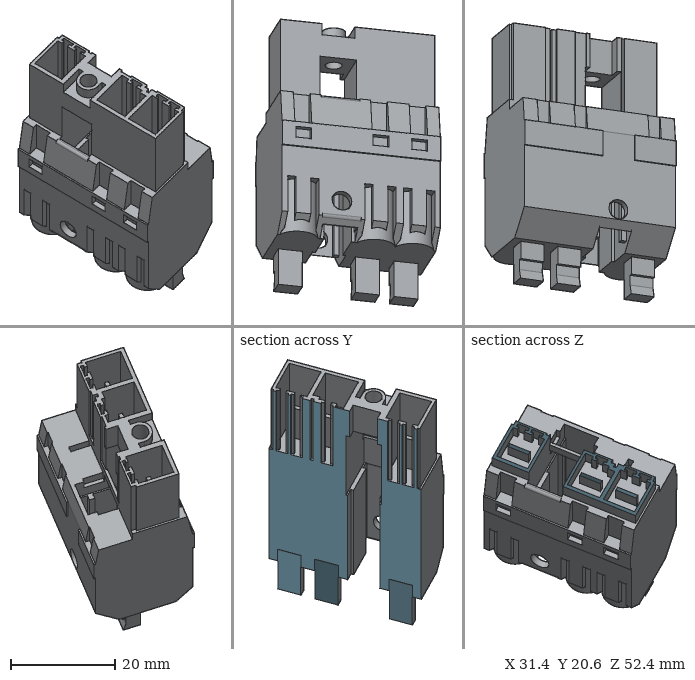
import cadquery as cq
import math


pitch = 7.65
pole_x = [-1.5 * pitch, 0.5 * pitch, 1.5 * pitch]
left_pole_x, inner_pole_x, right_pole_x = pole_x
flange_x = -0.5 * pitch

body_width = 31.4
body_half_depth = 9.95
band_half_depth = 20.6 / 2
body_bottom_z = 7.45
band_bottom_z = 24.8
band_top_z = 29.85
back_shoulder_z = 34.7
front_shoulder_z = 36.7
front_shoulder_y = -8.8
back_shoulder_y = 9.35
front_chamfer = 3.45
back_chamfer = 4.8

shell_half_width = 2 * pitch
shell_top_z = 52.4
shell_front_y = -7.3
shell_back_y = 2.4
seam_back_y = 2.1
seam_outer = 8.25
seam_inner_left = -0.3
seam_inner_right = 2.0
shell_groove_left = 5.75
shell_groove_step = 6.6
shell_groove_right = 7.15
shell_groove_step_y = 1.8
shell_groove_y = 1.1
corner_relief_x = 0.4
corner_relief_y = 1.4

socket_floor_z = 36.7
socket_front_y = -6.45
keyway_back_y = 1.95
key_neck_y = 1.35
key_face_y = 0.75
neck_half_width = 0.3
key_half_width = 0.85
outer_socket_outer_x = -3.15
outer_socket_inner_x = 3.35
outer_lug_outer_x = -2.2
outer_lug_inner_x = 2.1
outer_keyway_half_width = 2.65
outer_lug_inner_y = 0.95
inner_socket_half_width = 3.4
inner_socket_corner_y = 1.4
inner_lug_left = -1.8
inner_lug_right = -0.75
inner_keyway_left = -1.25
inner_key_neck_x = 1.1
inner_key_left = 0.6
inner_key_right = 1.95
inner_socket_ledge_y = 0.1

blade_width = 4.4
blade_thickness = 0.85
blade_y = -3.2
blade_seat_depth = 2.6
blade_height = 10.5
tab_width = 4.75
tab_front_y = 0.05
tab_back_y = 3.75
tab_top_z = 10.5
tab_notch_top_z = 3.95
tab_notch_bottom_z = 1.95
tab_notch_y = 3.05
tab_tip_y = 3.6

collar_radius = 4.15
collar_y = -4.85
collar_top_z = 18.45
groove_inner = 1.45
groove_outer = 3.1

front_recess_width = 3.35
front_recess_y = -7.9
back_recess_width = 2.5
back_recess_y = 9.1
window_width = 3.1
window_bottom_z = 26.55
window_top_z = 28.8
window_depth = 1.05

opening_width = 7.25
bridge_bottom_z = 45.5
bridge_back_y = -0.05
bridge_notch_width = 5.65
boss_recess_width = 6.5
boss_recess_z = 50.05
boss_recess_back_y = -2.4
boss_radius = 2.3
boss_y = -3.6
screw_diameter = 3.25
duct_width = 6.6
duct_top_front_y = -7.9
duct_front_y = -8.5
duct_back_y = 8.45
crossbar_front_y = 1.8
rib_width = 1.05
rib_front_y = 4.85
rib_back_y = 5.95
cross_hole_diameter = 3.9
cross_hole_z = 14.35
wall_notch_width = 6.9
wall_notch_top_z = 9.65
rail_gap = 5.45
rail_front_y = -6.55
top_edge_radius = 0.65
bottom_edge_radius = 0.95

back_slot_depth = 2.1
back_slot_back_y = 6.55
flange_slot_width = 0.75
pole_slot_width = 1.1
pole_slot_x = pitch


def block(x_range, y_range, z_range):
    """Box between the given limits along X, Y and Z."""
    (x0, x1), (y0, y1), (z0, z1) = x_range, y_range, z_range
    return cq.Workplane("XY").box(x1 - x0, y1 - y0, z1 - z0, centered=False).translate((x0, y0, z0))


def around(center, width):
    """Limits of a span of the given width about its centre."""
    return (center - width / 2, center + width / 2)


def prism_along_x(outline, x_range):
    """Solid with a Y-Z outline, running between two X limits."""
    x0, x1 = x_range
    return cq.Workplane("YZ").polyline(outline).close().extrude(x1 - x0).translate((x0, 0, 0))


def prism_up(outline, z_range):
    """Solid with an X-Y outline, running between two heights."""
    z0, z1 = z_range
    return cq.Workplane("XY").polyline(outline).close().extrude(z1 - z0).translate((0, 0, z0))


def cylinder_up(x, y, radius, z_range):
    """Upright cylinder between two heights."""
    z0, z1 = z_range
    return cq.Workplane("XY").center(x, y).circle(radius).extrude(z1 - z0).translate((0, 0, z0))


def edge_waste(before, corner, after, radius, x_range):
    """Sliver to remove along X so that the Y-Z corner between two points becomes round."""
    y, z = corner
    angle_before = math.atan2(before[1] - z, before[0] - y)
    angle_after = math.atan2(after[1] - z, after[0] - y)
    bisector = (math.cos(angle_before) + math.cos(angle_after),
                math.sin(angle_before) + math.sin(angle_after))
    bisector_angle = math.atan2(bisector[1], bisector[0])
    half_angle = math.acos(math.hypot(*bisector) / 2)
    tangent_length = radius / math.tan(half_angle)
    crown_distance = radius / math.sin(half_angle) - radius

    def along(angle, distance):
        return (y + distance * math.cos(angle), z + distance * math.sin(angle))

    x0, x1 = x_range
    outline = cq.Workplane("YZ").moveTo(y, z).lineTo(*along(angle_before, tangent_length))
    outline = outline.threePointArc(along(bisector_angle, crown_distance),
                                    along(angle_after, tangent_length))
    return outline.close().extrude(x1 - x0).translate((x0, 0, 0))


def make_lower_body():
    outline = [
        (body_half_depth - back_chamfer, body_bottom_z),
        (body_half_depth, body_bottom_z + back_chamfer),
        (body_half_depth, band_bottom_z),
        (band_half_depth, band_bottom_z),
        (band_half_depth, band_top_z),
        (body_half_depth, band_top_z),
        (back_shoulder_y, back_shoulder_z),
        (shell_back_y, back_shoulder_z),
        (shell_back_y, front_shoulder_z),
        (front_shoulder_y, front_shoulder_z),
        (-body_half_depth, band_top_z),
        (-band_half_depth, band_top_z),
        (-band_half_depth, band_bottom_z),
        (-body_half_depth, band_bottom_z),
        (-body_half_depth, body_bottom_z + front_chamfer),
        (front_chamfer - body_half_depth, body_bottom_z),
    ]
    return prism_along_x(outline, around(0, body_width))


def make_shell():
    """Upper shell, with stepped seams at the back between neighbouring positions."""
    relief_x = shell_half_width - corner_relief_x
    flange_left = flange_x - pitch / 2
    outline = [
        (-shell_half_width, shell_front_y),
        (-shell_half_width, corner_relief_y),
        (-relief_x, corner_relief_y),
        (-relief_x, shell_back_y),
        (-seam_outer, shell_back_y),
        (-seam_outer, seam_back_y),
        (flange_left, seam_back_y),
        (flange_left, shell_back_y),
        (seam_inner_left, shell_back_y),
        (seam_inner_left, seam_back_y),
        (seam_inner_right, seam_back_y),
        (seam_inner_right, shell_back_y),
        (shell_groove_left, shell_back_y),
        (shell_groove_left, shell_groove_step_y),
        (shell_groove_step, shell_groove_step_y),
        (shell_groove_step, shell_groove_y),
        (shell_groove_right, shell_groove_y),
        (shell_groove_right, seam_back_y),
        (seam_outer, seam_back_y),
        (seam_outer, shell_back_y),
        (relief_x, shell_back_y),
        (relief_x, corner_relief_y),
        (shell_half_width, corner_relief_y),
        (shell_half_width, shell_front_y),
    ]
    return prism_up(outline, (front_shoulder_z, shell_top_z))


def make_outer_socket(x, side):
    """Socket with a T-shaped key in its back wall; side = -1 mirrors it about the pole axis."""
    shape = [
        (outer_socket_outer_x, socket_front_y),
        (outer_socket_outer_x, key_face_y),
        (outer_lug_outer_x, key_face_y),
        (outer_lug_outer_x, key_neck_y),
        (-outer_keyway_half_width, key_neck_y),
        (-outer_keyway_half_width, keyway_back_y),
        (-neck_half_width, keyway_back_y),
        (-neck_half_width, key_neck_y),
        (-key_half_width, key_neck_y),
        (-key_half_width, key_face_y),
        (key_half_width, key_face_y),
        (key_half_width, key_neck_y),
        (neck_half_width, key_neck_y),
        (neck_half_width, keyway_back_y),
        (outer_keyway_half_width, keyway_back_y),
        (outer_keyway_half_width, key_neck_y),
        (outer_lug_inner_x, key_neck_y),
        (outer_lug_inner_x, outer_lug_inner_y),
        (outer_socket_inner_x, outer_lug_inner_y),
        (outer_socket_inner_x, socket_front_y),
    ]
    return prism_up([(x + side * u, y) for u, y in shape], (socket_floor_z, shell_top_z))


def make_inner_socket(x):
    """Wider socket whose back wall steps around the groove beside it."""
    shape = [
        (-inner_socket_half_width, socket_front_y),
        (-inner_socket_half_width, inner_socket_corner_y),
        (inner_lug_left, inner_socket_corner_y),
        (inner_lug_left, key_face_y),
        (inner_lug_right, key_face_y),
        (inner_lug_right, key_neck_y),
        (inner_keyway_left, key_neck_y),
        (inner_keyway_left, keyway_back_y),
        (inner_key_neck_x, keyway_back_y),
        (inner_key_neck_x, key_neck_y),
        (inner_key_left, key_neck_y),
        (inner_key_left, key_face_y),
        (inner_key_right, key_face_y),
        (inner_key_right, inner_socket_ledge_y),
        (inner_socket_half_width, inner_socket_ledge_y),
        (inner_socket_half_width, socket_front_y),
    ]
    return prism_up([(x + u, y) for u, y in shape], (socket_floor_z, shell_top_z))


def cut_bridge(body):
    """Opening below the bridge, and the screw boss standing in a recess on top of it."""
    body = body.cut(block(around(flange_x, opening_width), (-band_half_depth, band_half_depth),
                          (front_shoulder_z, bridge_bottom_z)))
    body = body.cut(block(around(flange_x, bridge_notch_width), (bridge_back_y, shell_back_y),
                          (bridge_bottom_z, shell_top_z)))
    recess_heights = (boss_recess_z, shell_top_z)
    recess = block(around(flange_x, boss_recess_width), (shell_front_y, boss_recess_back_y), recess_heights)
    boss = cylinder_up(flange_x, boss_y, boss_radius, recess_heights)
    boss_root = block(around(flange_x, 2 * boss_radius), (boss_y, boss_recess_back_y), recess_heights)
    body = body.cut(recess.cut(boss).cut(boss_root))
    return body.cut(cylinder_up(flange_x, boss_y, screw_diameter / 2, (bridge_bottom_z, shell_top_z)))


def make_duct():
    """Hollow of the vertical duct, leaving its crossbar, guide ribs and side rails standing."""
    opening = around(flange_x, opening_width)
    duct = block(around(flange_x, duct_width), (duct_front_y, duct_back_y), (body_bottom_z, band_top_z))
    duct = duct.union(block(opening, (duct_top_front_y, duct_back_y), (band_top_z, front_shoulder_z)))
    duct = duct.cut(block(opening, (crossbar_front_y, shell_back_y), (back_shoulder_z, front_shoulder_z)))
    rail_width = (duct_width - rail_gap) / 2
    for side in (-1, 1):
        rib_x = flange_x + side * (duct_width - rib_width) / 2
        duct = duct.cut(block(around(rib_x, rib_width), (rib_front_y, rib_back_y),
                              (wall_notch_top_z, band_top_z)))
        rail_x = flange_x + side * (duct_width - rail_width) / 2
        duct = duct.cut(block(around(rail_x, rail_width), (rail_front_y, bridge_back_y),
                              (body_bottom_z, band_top_z)))
    return duct


def cut_flange_walls(body):
    """Notch, cross hole and rounded edges in the walls in front of and behind the duct."""
    flange = around(flange_x, pitch)
    body = body.cut(block(around(flange_x, wall_notch_width), (-band_half_depth, rail_front_y),
                          (body_bottom_z, wall_notch_top_z)))
    body = body.cut(block(around(flange_x, duct_width), (body_half_depth, band_half_depth),
                          (band_bottom_z, band_top_z)))
    cross_hole = cq.Workplane("XZ").center(flange_x, cross_hole_z).circle(cross_hole_diameter / 2)
    body = body.cut(cross_hole.extrude(band_half_depth, both=True))
    upper_corner = (front_shoulder_y, front_shoulder_z)
    slope_foot = (-body_half_depth, band_top_z)
    behind_shoulder = (0, front_shoulder_z)
    body = body.cut(edge_waste(behind_shoulder, upper_corner, slope_foot, top_edge_radius, flange))
    lower_corner = (-body_half_depth, body_bottom_z + front_chamfer)
    above_corner = (-body_half_depth, band_bottom_z)
    chamfer_foot = (front_chamfer - body_half_depth, body_bottom_z)
    return body.cut(edge_waste(above_corner, lower_corner, chamfer_foot, bottom_edge_radius, flange))


def add_pole_details(body, x):
    """Recesses, window and wire collar of one pole; two grooves bare the collar's flanks."""
    body = body.cut(block(around(x, front_recess_width), (-body_half_depth, front_recess_y),
                          (band_top_z, front_shoulder_z)))
    body = body.cut(block(around(x, back_recess_width), (back_recess_y, body_half_depth),
                          (band_top_z, back_shoulder_z)))
    body = body.cut(block(around(x, window_width), (-band_half_depth, window_depth - band_half_depth),
                          (window_bottom_z, window_top_z)))
    collar_heights = (body_bottom_z, collar_top_z)
    for side in (-1, 1):
        groove_x = x + side * (groove_inner + groove_outer) / 2
        body = body.cut(block(around(groove_x, groove_outer - groove_inner), (-body_half_depth, collar_y),
                              collar_heights))
    return body.union(cylinder_up(x, collar_y, collar_radius, collar_heights))


def cut_back_slots(body):
    """Narrow slots in the back shoulder, beside the duct and between the two right poles."""
    flange_slot_offset = (opening_width + flange_slot_width) / 2
    slots = [
        (flange_x - flange_slot_offset, flange_slot_width),
        (flange_x + flange_slot_offset, flange_slot_width),
        (pole_slot_x, pole_slot_width),
    ]
    for x, width in slots:
        body = body.cut(block(around(x, width), (shell_back_y, back_slot_back_y),
                              (back_shoulder_z - back_slot_depth, back_shoulder_z)))
    return body


def make_housing(inserts):
    """Complete housing, with a matching hole for every insert."""
    body = make_lower_body().union(make_shell())
    for x in pole_x:
        body = add_pole_details(body, x)
    body = cut_bridge(body)
    body = body.cut(make_duct())
    body = cut_flange_walls(body)
    body = body.cut(make_outer_socket(left_pole_x, 1))
    body = body.cut(make_inner_socket(inner_pole_x))
    body = body.cut(make_outer_socket(right_pole_x, -1))
    body = cut_back_slots(body)
    for insert in inserts:
        body = body.cut(insert)
    return body


def make_blade(x):
    """Flat contact blade standing in the floor of a socket."""
    seat_z = socket_floor_z - blade_seat_depth
    return block(around(x, blade_width), around(blade_y, blade_thickness), (seat_z, seat_z + blade_height))


def make_tab(x):
    """Latch tab hanging below the housing, notched on its back face."""
    outline = [
        (tab_front_y, 0),
        (tab_tip_y, 0),
        (tab_notch_y, tab_notch_bottom_z),
        (tab_notch_y, tab_notch_top_z),
        (tab_back_y, tab_notch_top_z),
        (tab_back_y, tab_top_z),
        (tab_front_y, tab_top_z),
    ]
    return prism_along_x(outline, around(x, tab_width))


blades = [make_blade(x) for x in pole_x]
tabs = [make_tab(x) for x in pole_x]
housing = make_housing(blades + tabs)

result = cq.Compound.makeCompound([
    housing.val(),
    *[blade.val() for blade in blades],
    *[tab.val() for tab in tabs],
])